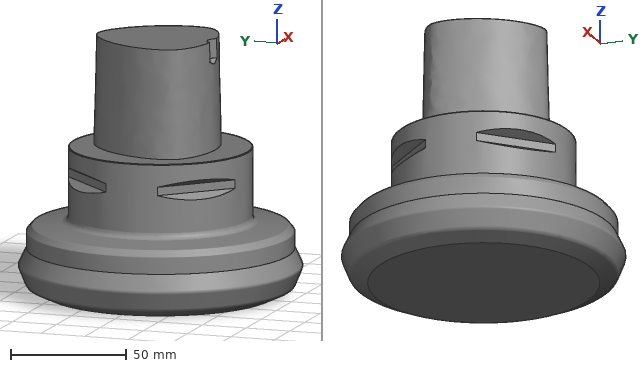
import cadquery as cq
import math

outer_radius = 61.6
flange_radius = 58.2
bottom_radius = 50.3
lower_corner_height = 3.6
rim_height = 12.3
disc_top = 20.0
rim_round = 1.8
upper_flank_angle = 25.5
lower_flank_angle = 22.0
lower_corner_round = 2.5

flange_chamfer_height = 27.4
shoulder_radius = 55.8
shoulder_height = 30.1
flange_edge_round = 0.6
collar_diameter = 80.0
collar_radius = collar_diameter / 2
shoulder_rise = 1.8
collar_fillet = 2.7
collar_top = 64.8
collar_chamfer = 0.4

slot_count = 4
slot_first_direction = 45.0
slot_height = 52.9
slot_floor_distance = 35.4
slot_floor_width = 3.7
slot_wall_angle = 28.0
slot_reach = 49.3

overall_height = 113.0
shank_base_radius = 27.6
shank_top_radius = 26.5
shank_base_lobe = 2.5
shank_top_lobe = 2.2
section_points = 48

notch_radius = 5.4
notch_axis_distance = 27.0
notch_depth = 8.5
drill_half_angle = 59.0


def make_cutter():
    """Solid disc with a rounded rim between two conical flanks."""
    rim_centre_radius = outer_radius - rim_round
    upper_angle = math.radians(upper_flank_angle)
    lower_angle = math.radians(lower_flank_angle)

    def rim_point(angle):
        return (
            rim_centre_radius + rim_round * math.cos(angle),
            rim_height + rim_round * math.sin(angle),
        )

    disc = (
        cq.Workplane("XZ")
        .lineTo(bottom_radius, 0)
        .lineTo(flange_radius, lower_corner_height)
        .lineTo(*rim_point(-lower_angle))
        .threePointArc(rim_point(0), rim_point(upper_angle))
        .lineTo(flange_radius, disc_top)
        .lineTo(0, disc_top)
        .close()
        .revolve(360, (0, 0, 0), (0, 1, 0))
    )
    corner = cq.selectors.BoxSelector(
        (-outer_radius, -outer_radius, lower_corner_height / 2),
        (outer_radius, outer_radius, lower_corner_height * 1.5),
        boundingbox=False,
    )
    return disc.edges("%CIRCLE").edges(corner).fillet(lower_corner_round)


def make_holder_base():
    """Flange, conical shoulder and collar turned about Z."""
    base = (
        cq.Workplane("XZ")
        .moveTo(0, disc_top)
        .lineTo(flange_radius, disc_top)
        .lineTo(flange_radius, flange_chamfer_height)
        .lineTo(shoulder_radius, shoulder_height)
        .lineTo(collar_radius, shoulder_height + shoulder_rise)
        .lineTo(collar_radius, collar_top)
        .lineTo(0, collar_top)
        .close()
        .revolve(360, (0, 0, 0), (0, 1, 0))
    )
    base = base.faces(">Z").edges().chamfer(collar_chamfer)
    inner_corner = cq.selectors.BoxSelector(
        (-collar_radius, -collar_radius, shoulder_height + shoulder_rise / 2),
        (collar_radius, collar_radius, shoulder_height + 2 * shoulder_rise),
        boundingbox=False,
    )
    base = base.edges("%CIRCLE").edges(inner_corner).fillet(collar_fillet)
    chamfer_edges = cq.selectors.BoxSelector(
        (-flange_radius, -flange_radius, flange_chamfer_height - flange_edge_round),
        (flange_radius, flange_radius, shoulder_height + flange_edge_round),
        boundingbox=False,
    )
    return base.edges("%CIRCLE").edges(chamfer_edges).fillet(flange_edge_round)


def make_slot(direction):
    """Cutting shape of one flared slot, facing the given direction in degrees."""
    floor_half = slot_floor_width / 2
    flare = (slot_reach - slot_floor_distance) * math.tan(math.radians(slot_wall_angle))
    mouth_half = floor_half + flare
    return (
        cq.Workplane("XZ")
        .moveTo(slot_floor_distance, slot_height - floor_half)
        .lineTo(slot_reach, slot_height - mouth_half)
        .lineTo(slot_reach, slot_height + mouth_half)
        .lineTo(slot_floor_distance, slot_height + floor_half)
        .close()
        .extrude(collar_radius, both=True)
        .rotate((0, 0, 0), (0, 0, 1), direction)
    )


def shank_section(height, radius, lobe):
    """Closed three-lobed wire with one lobe pointing to +Y."""
    def point(angle):
        along = radius * math.cos(angle) + 2 * lobe * math.cos(2 * angle) - lobe * math.cos(4 * angle)
        across = radius * math.sin(angle) - 2 * lobe * math.sin(2 * angle) - lobe * math.sin(4 * angle)
        return cq.Vector(-across, along, height)

    points = [point(2 * math.pi * index / section_points) for index in range(section_points)]
    return cq.Wire.assembleEdges([cq.Edge.makeSpline(points, periodic=True)])


def make_shank():
    base = shank_section(collar_top, shank_base_radius, shank_base_lobe)
    top = shank_section(overall_height, shank_top_radius, shank_top_lobe)
    return cq.Workplane(cq.Solid.makeLoft([base, top], True))


def make_notch():
    """Drill shape with a conical tip, standing half outside the shank."""
    tip_height = notch_radius / math.tan(math.radians(drill_half_angle))
    notch_floor = overall_height - notch_depth
    return (
        cq.Workplane("XZ")
        .moveTo(0, notch_floor - tip_height)
        .lineTo(notch_radius, notch_floor)
        .lineTo(notch_radius, overall_height)
        .lineTo(0, overall_height)
        .close()
        .revolve(360, (0, 0, 0), (0, 1, 0))
        .translate((0, -notch_axis_distance, 0))
    )


def make_holder():
    holder = make_holder_base()
    for index in range(slot_count):
        holder = holder.cut(make_slot(slot_first_direction + index * 360 / slot_count))
    return holder.union(make_shank().cut(make_notch()))


cutter = make_cutter()
holder = make_holder()
result = cq.Compound.makeCompound([cutter.val(), holder.val()])